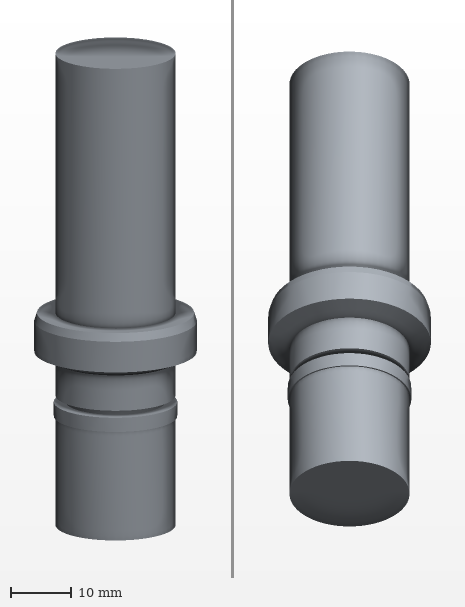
import cadquery as cq

total_length = 81.0
shaft_diameter = 19.9

collar_diameter = 27.0
collar_top_diameter = 26.1
collar_top_z = 36.45
collar_top_cone_height = 1.4
collar_rim_height = 5.3
collar_bottom_cone_height = 1.45

groove_diameter = 16.5
groove_bottom_z = 21.15
groove_width = 1.1
band_diameter = 20.5
band_height = 2.4


def cylinder(diameter, bottom_z, height):
    return cq.Workplane("XY").workplane(offset=bottom_z).circle(diameter / 2).extrude(height)


def cone(bottom_diameter, top_diameter, bottom_z, height):
    return (
        cq.Workplane("XY")
        .workplane(offset=bottom_z)
        .circle(bottom_diameter / 2)
        .workplane(offset=height)
        .circle(top_diameter / 2)
        .loft(ruled=True)
    )


def collar():
    rim_top_z = collar_top_z - collar_top_cone_height
    rim_bottom_z = rim_top_z - collar_rim_height
    cone_bottom_z = rim_bottom_z - collar_bottom_cone_height
    rim = cylinder(collar_diameter, rim_bottom_z, collar_rim_height)
    upper_cone = cone(collar_diameter, collar_top_diameter, rim_top_z, collar_top_cone_height)
    lower_cone = cone(shaft_diameter, collar_diameter, cone_bottom_z, collar_bottom_cone_height)
    return rim.union(upper_cone).union(lower_cone)


def groove_cutter():
    outer = cylinder(collar_diameter, groove_bottom_z, groove_width)
    core = cylinder(groove_diameter, groove_bottom_z, groove_width)
    return outer.cut(core)


shaft = cylinder(shaft_diameter, 0, total_length)
band = cylinder(band_diameter, groove_bottom_z - band_height, band_height)

result = shaft.union(collar()).union(band).cut(groove_cutter())